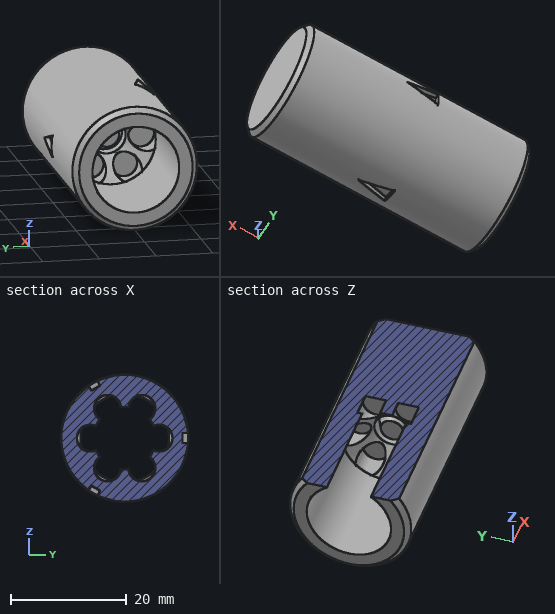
import cadquery as cq

length = 45.0
outer_diameter = 22.0
end_chamfer = 1.0

bore_diameter = 15.3
bore_depth = 20.25
hole_diameter = 6.5
hole_depth = 6.75
cone_depth = (bore_diameter - hole_diameter) / 2
cone_end = bore_depth + cone_depth
hole_end = cone_end + hole_depth

pocket_count = 6
pocket_diameter = 4.6
pocket_ring_radius = 5.95

arrow_count = 3
arrow_base_x = 18.95
arrow_length = 6.25
arrow_width = 3.85
arrow_depth = 1.0

pin_diameter = 6.1
nose_inset = 1.0
nose_length = 2.25


def cylinder_along_x(diameter, start_x, end_x):
    return cq.Workplane("YZ", origin=(start_x, 0, 0)).circle(diameter / 2).extrude(end_x - start_x)


def make_inlet():
    """Bore, cone and pin hole as one revolved cutter."""
    bore_radius = bore_diameter / 2
    hole_radius = hole_diameter / 2
    return (
        cq.Workplane("XY")
        .polyline([
            (0, 0),
            (0, bore_radius),
            (bore_depth, bore_radius),
            (cone_end, hole_radius),
            (hole_end, hole_radius),
            (hole_end, 0),
        ])
        .close()
        .revolve(360, (0, 0, 0), (1, 0, 0))
    )


def make_pockets():
    """Pockets running from the start of the cone to its end, reaching slightly outside the bore."""
    return (
        cq.Workplane("YZ", origin=(bore_depth, 0, 0))
        .polarArray(pocket_ring_radius, 0, 360, pocket_count)
        .circle(pocket_diameter / 2)
        .extrude(cone_depth)
    )


def make_arrow(angle):
    """Triangular flat-floored cutter, turned about X from the +Y side."""
    outer_radius = outer_diameter / 2
    return (
        cq.Workplane("XZ", origin=(0, outer_radius, 0))
        .polyline([
            (arrow_base_x, -arrow_width / 2),
            (arrow_base_x, arrow_width / 2),
            (arrow_base_x + arrow_length, 0),
        ])
        .close()
        .extrude(arrow_depth)
        .rotate((0, 0, 0), (1, 0, 0), angle)
    )


def make_housing():
    body = cylinder_along_x(outer_diameter, 0, length).faces("<X or >X").chamfer(end_chamfer)
    body = body.cut(make_inlet()).cut(make_pockets())
    for index in range(arrow_count):
        body = body.cut(make_arrow(index * 360 / arrow_count))
    return body


def make_pin():
    """Pin from the mouth of the hole to its floor, with a steep tapered nose."""
    pin_radius = pin_diameter / 2
    nose_radius = pin_radius - nose_inset
    return (
        cq.Workplane("XY")
        .polyline([
            (cone_end, 0),
            (cone_end, nose_radius),
            (cone_end + nose_length, pin_radius),
            (hole_end, pin_radius),
            (hole_end, 0),
        ])
        .close()
        .revolve(360, (0, 0, 0), (1, 0, 0))
    )


housing = make_housing()
pin = make_pin()

result = cq.Compound.makeCompound([housing.val(), pin.val()])